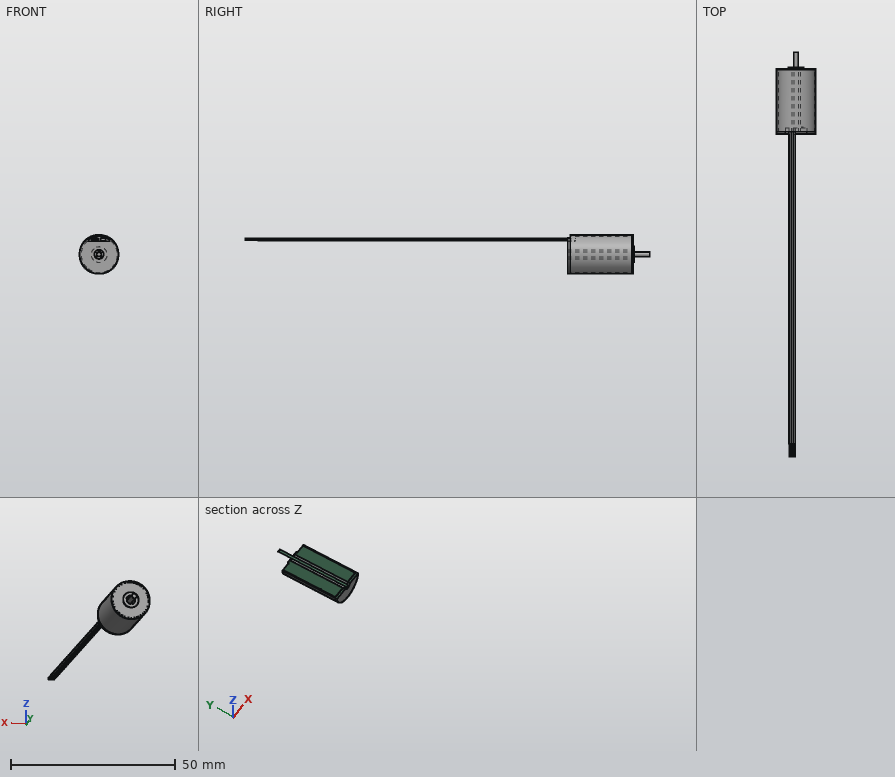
import cadquery as cq


overall_length = 123.3
motor_length = 25.0
shaft_overhang = 5.0
collar_height = 0.4
flange_thickness = 0.4
rear_cap_thickness = 0.7

motor_diameter = 12.0
sleeve_wall = 0.5
collar_diameter = 4.8
bore_diameter = 2.7
shaft_diameter = 1.5

slot_width = 6.4
slot_floor_height = 4.0
slot_depth_in_core = 1.2

wire_count = 3
wire_diameter = 0.68
conductor_diameter = 0.55
stripped_length = 4.0
wire_group_offset = -1.17
wire_height = 4.6

recess_offset = 1.2
recess_length = 1.7
recess_height = 0.7
recess_depth = 0.4

flange_front = -shaft_overhang
sleeve_front = flange_front - flange_thickness
motor_rear = -motor_length
sleeve_rear = motor_rear + rear_cap_thickness
wire_end = -overall_length
slot_end = sleeve_rear + slot_depth_in_core
strip_start = wire_end + stripped_length

sleeve_inner_diameter = motor_diameter - 2 * sleeve_wall


def rod(diameter, y_front, y_rear, x=0, z=0):
    """Solid cylinder parallel to Y, from y_front back to y_rear."""
    profile = cq.Workplane("XZ", origin=(x, y_front, z)).circle(diameter / 2)
    return profile.extrude(y_front - y_rear)


def make_slot_tool():
    """Block to cut away for the wire slot; it reaches past the top of the motor."""
    slot_depth = slot_end - motor_rear
    slot_height = motor_diameter / 2
    block = cq.Workplane("XY").box(slot_width, slot_depth, slot_height, centered=(True, False, False))
    return block.translate((0, motor_rear, slot_floor_height))


def make_shaft():
    return rod(shaft_diameter, 0, motor_rear)


def make_sleeve():
    outside = rod(motor_diameter, sleeve_front, sleeve_rear)
    return outside.cut(rod(sleeve_inner_diameter, sleeve_front, sleeve_rear))


def make_core():
    """Inside of the motor, with the front flange and the collar around the shaft."""
    collar_front = flange_front + collar_height
    core = rod(sleeve_inner_diameter, flange_front, sleeve_rear)
    core = core.union(rod(motor_diameter, flange_front, sleeve_front))
    core = core.union(rod(collar_diameter, collar_front, flange_front))
    core = core.cut(rod(bore_diameter, collar_front, sleeve_rear))
    core = core.cut(make_slot_tool())
    recess = (
        cq.Workplane("XZ", origin=(recess_offset, slot_end, wire_height))
        .slot2D(recess_length, recess_height)
        .extrude(-recess_depth)
    )
    return core.cut(recess)


def make_rear_cap():
    """Rear disc with the shaft bore and the wire slot, open at the top."""
    cap = rod(motor_diameter, sleeve_rear, motor_rear)
    cap = cap.cut(rod(bore_diameter, sleeve_rear, motor_rear))
    return cap.cut(make_slot_tool())


def make_wire(x):
    """Insulated wire that starts at the end of the slot and ends in a bare conductor."""
    insulated = rod(wire_diameter, slot_end, strip_start, x, wire_height)
    bare = rod(conductor_diameter, strip_start, wire_end, x, wire_height)
    return insulated.union(bare)


shaft = make_shaft()
sleeve = make_sleeve()
core = make_core()
rear_cap = make_rear_cap()

wires = []
for index in range(wire_count):
    steps_from_middle = index - (wire_count - 1) / 2
    wires.append(make_wire(wire_group_offset + steps_from_middle * wire_diameter).val())

result = cq.Compound.makeCompound([shaft.val(), sleeve.val(), core.val(), rear_cap.val(), *wires])